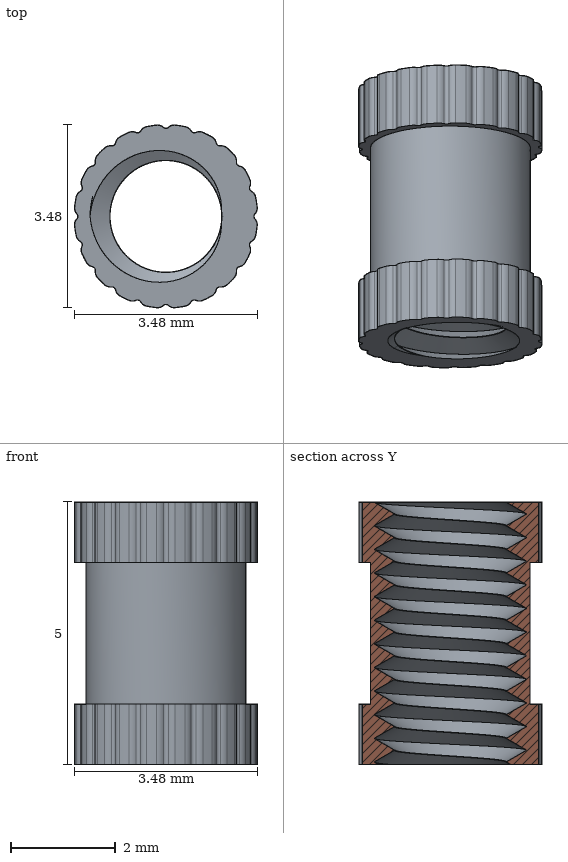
import cadquery as cq
import math

length = 5.0
barrel_diameter = 3.05
knurl_radius = 1.75
band_height = 1.15

flute_count = 20
flute_floor_radius = 1.68
flute_round = 0.07
shoulder_round = 0.17

thread_pitch = 0.45
thread_mean_radius = 1.25
thread_angle = math.radians(60)
crest_land = 0.01
turn_gap = 0.005
sharp_v_depth = thread_pitch / 2 / math.tan(thread_angle / 2)
thread_root_radius = thread_mean_radius + sharp_v_depth / 2
bore_radius = thread_root_radius - (thread_pitch - crest_land) / 2 / math.tan(thread_angle / 2)

bore_seam_angle = 77


def polar(radius, angle):
    return radius * math.cos(angle), radius * math.sin(angle)


def turned(point, angle):
    """Rotate a 2D point about the axis of the part."""
    x, y = point
    return x * math.cos(angle) - y * math.sin(angle), x * math.sin(angle) + y * math.cos(angle)


def knurl_outline():
    """Closed outline of tangent arcs: flute, shoulder, crest, shoulder, for every flute."""
    flute_centre = flute_floor_radius + flute_round
    shoulder_centre = knurl_radius - shoulder_round
    round_gap = flute_round + shoulder_round

    shoulder_angle = math.acos(
        (flute_centre**2 + shoulder_centre**2 - round_gap**2) / (2 * flute_centre * shoulder_centre)
    )
    centre_x, centre_y = polar(shoulder_centre, shoulder_angle)

    tangent_angle = math.atan2(-centre_y, flute_centre - centre_x)
    mid_angle = (tangent_angle + shoulder_angle) / 2
    tangent_x, tangent_y = polar(shoulder_round, tangent_angle)
    mid_x, mid_y = polar(shoulder_round, mid_angle)

    flute_floor = (flute_floor_radius, 0)
    flute_end = (centre_x + tangent_x, centre_y + tangent_y)
    flute_start = (flute_end[0], -flute_end[1])
    shoulder_mid = (centre_x + mid_x, centre_y + mid_y)
    step = 2 * math.pi / flute_count

    crest_start = polar(knurl_radius, shoulder_angle)
    crest_mid = polar(knurl_radius, step / 2)
    crest_end = polar(knurl_radius, step - shoulder_angle)
    next_shoulder_mid = turned((shoulder_mid[0], -shoulder_mid[1]), step)
    next_flute_start = turned(flute_start, step)

    outline = cq.Workplane("XY").moveTo(*flute_start)
    for index in range(flute_count):
        angle = index * step
        outline = (
            outline
            .threePointArc(turned(flute_floor, angle), turned(flute_end, angle))
            .threePointArc(turned(shoulder_mid, angle), turned(crest_start, angle))
            .threePointArc(turned(crest_mid, angle), turned(crest_end, angle))
            .threePointArc(turned(next_shoulder_mid, angle), turned(next_flute_start, angle))
        )
    return outline.close()


def groove_turn():
    """One turn of the V groove cutter, starting on the +X side with its root at Z = 0."""
    half_width = (thread_pitch - turn_gap) / 2
    inner_radius = thread_root_radius - half_width / math.tan(thread_angle / 2)
    helix = cq.Wire.makeHelix(thread_pitch, thread_pitch, inner_radius)
    return (
        cq.Workplane("XZ")
        .moveTo(inner_radius, -half_width)
        .lineTo(thread_root_radius, 0)
        .lineTo(inner_radius, half_width)
        .close()
        .sweep(cq.Workplane("XY").newObject([helix]), isFrenet=True)
    )


def cut_thread(tube):
    """Cut the thread one turn at a time, with the groove root meeting the top face at -X."""
    turn = groove_turn()
    top_turn_z = length + thread_pitch / 2
    turn_count = math.ceil(length / thread_pitch) + 2
    for index in range(turn_count):
        turn_z = top_turn_z - index * thread_pitch
        tube = tube.cut(turn.translate((0, 0, turn_z)))
    return tube


def threaded_barrel():
    tube = cq.Workplane("XY").circle(barrel_diameter / 2).circle(bore_radius).extrude(length)
    return cut_thread(tube.rotate((0, 0, 0), (0, 0, 1), bore_seam_angle))


def knurled_band():
    band = knurl_outline().extrude(band_height)
    return band.cut(cq.Workplane("XY").circle(barrel_diameter / 2).extrude(band_height))


band = knurled_band()
result = threaded_barrel().union(band).union(band.translate((0, 0, length - band_height)))